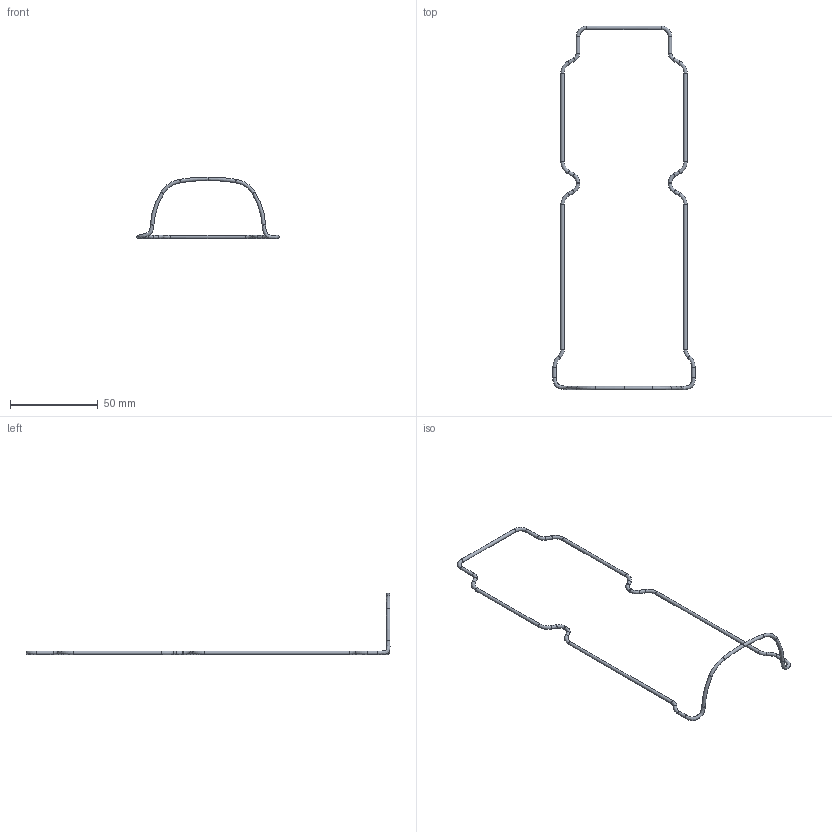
import cadquery as cq
import math

wire_diameter = 2.0

foot_half_width = 39.55
body_half_width = 35.0
neck_half_width = 26.2

foot_start_y = 6.2
foot_end_y = 11.9
body_start_y = 21.85
notch_center_y = 116.8
neck_start_y = 190.9
rear_y = 205.34

foot_outer_radius = 8.0
waist_angle = 60.0
waist_outer_radius = 7.0
notch_inner_radius = 5.0
notch_floor_half_length = 0.3
neck_inner_radius = 4.0
rear_corner_radius = 5.0

arch_height = 33.06
crown_half_width = 15.9
crown_end_z = 31.8
shoulder_half_width = 26.1
shoulder_end_z = 25.0
leg_half_width = 31.8
leg_end_z = 6.75

left_corner_via = (-35.6, 0.55, 0.9)
right_corner_via = (36.8, 0.6, -0.22)

shortest_straight = 1e-6


def line(start, end):
    return cq.Edge.makeLine(cq.Vector(*start), cq.Vector(*end))


def arc(start, middle, end):
    return cq.Edge.makeThreePointArc(cq.Vector(*start), cq.Vector(*middle), cq.Vector(*end))


def s_bend_size(angle, radius_sum, lateral):
    """Length along Y of an S-bend that shifts sideways by lateral."""
    straight = (lateral - radius_sum * (1 - math.cos(angle))) / math.sin(angle)
    return radius_sum * math.sin(angle) + straight * math.cos(angle)


def arc_mid_and_end(start, direction, radius, angle, toward_center):
    """Middle and end of an arc leaving start along Y (direction +1 or -1)."""
    def point(turn):
        across = toward_center * radius * (1 - math.cos(turn))
        return (start[0] + across, start[1] + direction * radius * math.sin(turn), 0)
    return point(angle / 2), point(angle)


def s_bend(start, end, start_radius, end_radius, angle):
    """Edges of an S-bend between two points whose ends both run along +Y."""
    side = math.copysign(1, end[0] - start[0])
    first_mid, first_end = arc_mid_and_end(start, 1, start_radius, angle, side)
    last_mid, last_start = arc_mid_and_end(end, -1, end_radius, angle, -side)
    edges = [arc(start, first_mid, first_end)]
    if math.dist(first_end, last_start) > shortest_straight:
        edges.append(line(first_end, last_start))
    edges.append(arc(last_start, last_mid, end))
    return edges


def side_edges(side):
    """Edges of one long side, from the foot to the middle of the rear bar; side is -1 or +1."""
    foot_x = side * foot_half_width
    body_x = side * body_half_width
    neck_x = side * neck_half_width

    foot_start = (foot_x, foot_start_y, 0)
    foot_end = (foot_x, foot_end_y, 0)
    body_start = (body_x, body_start_y, 0)

    foot_shift = foot_half_width - body_half_width
    foot_length = body_start_y - foot_end_y
    foot_angle = 2 * math.atan2(foot_shift, foot_length)
    foot_inner_radius = foot_length / math.sin(foot_angle) - foot_outer_radius

    angle = math.radians(waist_angle)
    waist_shift = body_half_width - neck_half_width
    notch_bend = s_bend_size(angle, waist_outer_radius + notch_inner_radius, waist_shift)
    neck_bend = s_bend_size(angle, waist_outer_radius + neck_inner_radius, waist_shift)

    notch_start = (body_x, notch_center_y - notch_floor_half_length - notch_bend, 0)
    notch_floor_start = (neck_x, notch_center_y - notch_floor_half_length, 0)
    notch_floor_end = (neck_x, notch_center_y + notch_floor_half_length, 0)
    notch_end = (body_x, notch_center_y + notch_floor_half_length + notch_bend, 0)
    body_end = (body_x, neck_start_y - neck_bend, 0)
    neck_start = (neck_x, neck_start_y, 0)

    corner_start = (neck_x, rear_y - rear_corner_radius, 0)
    corner_inset = rear_corner_radius * (1 - math.sqrt(0.5))
    corner_mid = (neck_x - side * corner_inset, rear_y - corner_inset, 0)
    corner_end = (neck_x - side * rear_corner_radius, rear_y, 0)

    return [
        line(foot_start, foot_end),
        *s_bend(foot_end, body_start, foot_outer_radius, foot_inner_radius, foot_angle),
        line(body_start, notch_start),
        *s_bend(notch_start, notch_floor_start, waist_outer_radius, notch_inner_radius, angle),
        line(notch_floor_start, notch_floor_end),
        *s_bend(notch_floor_end, notch_end, notch_inner_radius, waist_outer_radius, angle),
        line(notch_end, body_end),
        *s_bend(body_end, neck_start, waist_outer_radius, neck_inner_radius, angle),
        line(neck_start, corner_start),
        arc(corner_start, corner_mid, corner_end),
        line(corner_end, (0, rear_y, 0)),
    ]


def tangent_arc(previous, end):
    """Arc that continues the previous edge smoothly to end."""
    return cq.Edge.makeTangentArc(previous.endPoint(), previous.tangentAt(1), cq.Vector(*end))


def arch_edges(side, corner_via):
    """Edges of one half of the arch, from its crown down to the foot; side is -1 or +1."""
    crown_line = line((-side, 0, arch_height), (0, 0, arch_height))
    crown = tangent_arc(crown_line, (side * crown_half_width, 0, crown_end_z))
    shoulder = tangent_arc(crown, (side * shoulder_half_width, 0, shoulder_end_z))
    leg = tangent_arc(shoulder, (side * leg_half_width, 0, leg_end_z))
    corner = cq.Edge.makeSpline(
        [leg.endPoint(), cq.Vector(*corner_via), cq.Vector(side * foot_half_width, foot_start_y, 0)],
        tangents=[leg.tangentAt(1), cq.Vector(0, 1, 0)],
    )
    return [crown, shoulder, leg, corner]


def wire_half(side, corner_via):
    """Round wire along one half of the frame, from the arch crown to the middle of the rear bar."""
    path = cq.Wire.assembleEdges(arch_edges(side, corner_via) + side_edges(side))
    section = cq.Workplane("YZ", origin=(0, 0, arch_height)).circle(wire_diameter / 2)
    return section.sweep(cq.Workplane(path))


result = wire_half(-1, left_corner_via).union(wire_half(1, right_corner_via))